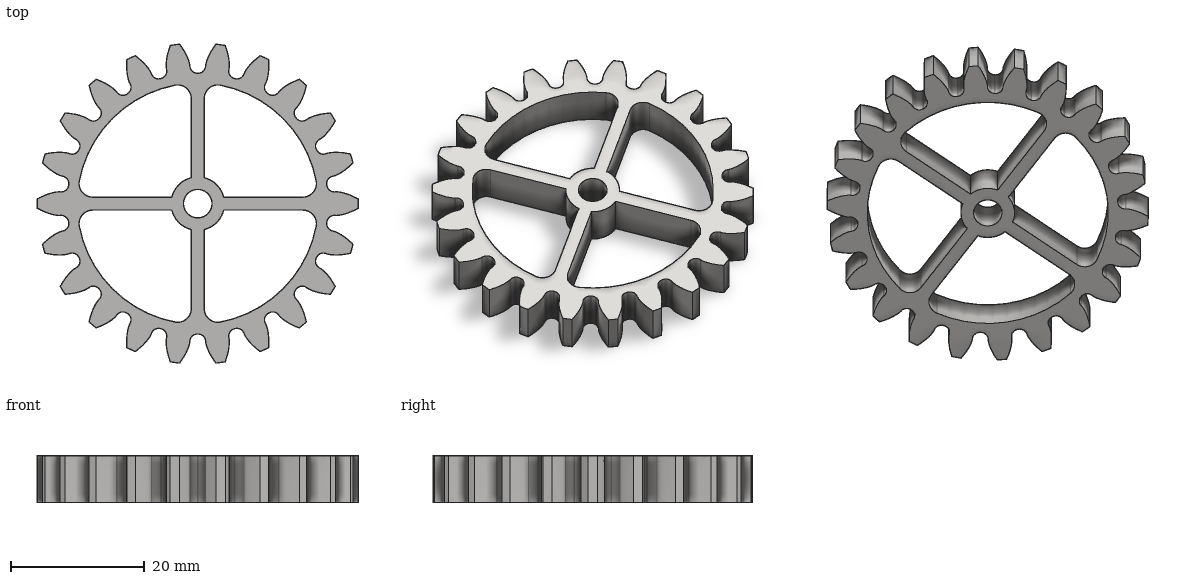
import cadquery as cq
import math

outer_diameter = 48.0
tooth_count = 22
pressure_angle = math.radians(20)
thickness = 7.0
bore_diameter = 4.2
hub_diameter = 8.0
spoke_count = 4
spoke_width = 1.95
rim_inner_radius = 18.0
window_fillet = 2.0
root_fillet = 1.1
dedendum_factor = 1.25
flank_steps = 8

module = outer_diameter / (tooth_count + 2)
tip_radius = outer_diameter / 2
pitch_radius = module * tooth_count / 2
base_radius = pitch_radius * math.cos(pressure_angle)
root_radius = pitch_radius - dedendum_factor * module
tooth_pitch = 360 / tooth_count
spoke_pitch = 360 / spoke_count


def involute(angle):
    return math.tan(angle) - angle


def polar(radius, angle):
    return (radius * math.cos(angle), radius * math.sin(angle))


def gap_flank():
    """Involute points from base circle to tip, on the upper side of a gap centred on +X."""
    quarter_pitch = math.pi / (2 * tooth_count)
    base_half_angle = quarter_pitch - involute(pressure_angle)
    points = []
    for i in range(flank_steps + 1):
        radius = base_radius + (tip_radius - base_radius) * (i / flank_steps) ** 2
        roll = math.acos(min(1.0, base_radius / radius))
        points.append(polar(radius, base_half_angle + involute(roll)))
    return points


def mirrored(point):
    return (point[0], -point[1])


def tooth_gap():
    """Space between two teeth: involute flanks, radial below the base circle, rounded at the root."""
    upper = gap_flank()
    lower = [mirrored(point) for point in upper]
    root_corner = polar(root_radius, math.atan2(upper[0][1], upper[0][0]))
    outside_radius = tip_radius + module
    outside_corner = polar(outside_radius, math.atan2(upper[-1][1], upper[-1][0]))
    return (
        cq.Workplane("XY")
        .moveTo(*mirrored(root_corner))
        .threePointArc((root_radius, 0), root_corner)
        .lineTo(*upper[0])
        .spline(upper[1:], includeCurrent=True)
        .lineTo(*outside_corner)
        .threePointArc((outside_radius, 0), mirrored(outside_corner))
        .lineTo(*lower[-1])
        .spline(lower[-2::-1], includeCurrent=True)
        .close()
        .extrude(thickness)
        .edges("|Z and <X")
        .fillet(root_fillet)
    )


def window():
    """Opening between the +X and +Y spokes, with its two corners at the rim rounded."""
    side = spoke_width / 2
    reach = math.sqrt(rim_inner_radius**2 - side**2)
    return (
        cq.Workplane("XY")
        .moveTo(side, side)
        .lineTo(reach, side)
        .threePointArc(polar(rim_inner_radius, math.pi / 4), (side, reach))
        .close()
        .extrude(thickness)
        .edges("|Z and (>X or >Y)")
        .fillet(window_fillet)
    )


gear = cq.Workplane("XY").circle(tip_radius).extrude(thickness)

gap = tooth_gap()
for i in range(tooth_count):
    gear = gear.cut(gap.rotate((0, 0, 0), (0, 0, 1), (i + 0.5) * tooth_pitch))

opening = window()
for i in range(spoke_count):
    gear = gear.cut(opening.rotate((0, 0, 0), (0, 0, 1), i * spoke_pitch))

hub = cq.Workplane("XY").circle(hub_diameter / 2).extrude(thickness)
bore = cq.Workplane("XY").circle(bore_diameter / 2).extrude(thickness)

result = gear.union(hub).cut(bore)